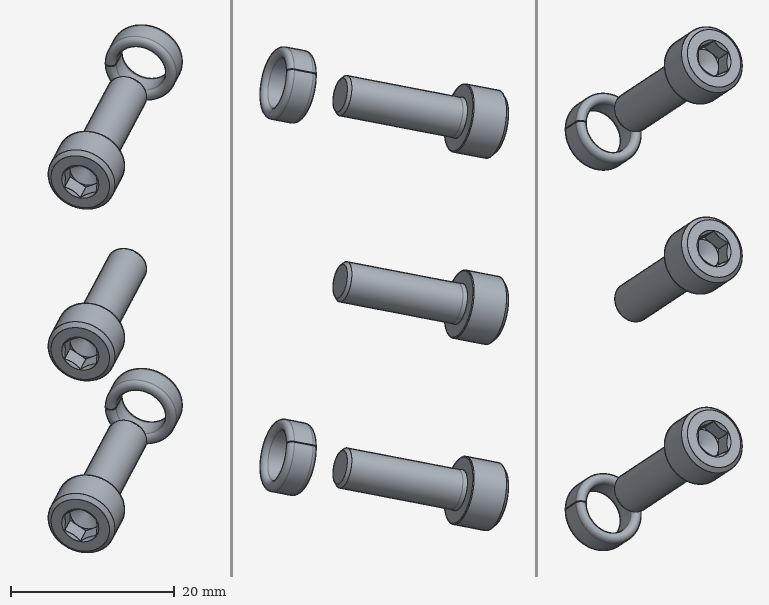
import cadquery as cq
import math

overall_depth = 30.0
screw_pitch = 50.0
screw_heights = (-screw_pitch / 2, 0, screw_pitch / 2)
ring_heights = (-screw_pitch / 2, screw_pitch / 2)
front_y = -overall_depth / 2
back_y = overall_depth / 2

shank_diameter = 5.0
shank_length = 16.0
shank_tip_chamfer = 0.4
neck_flare = 0.05
neck_length = 0.6
head_diameter = 8.5
head_length = 5.0
head_chamfer = 0.55
head_underside_chamfer = 0.1

socket_flats = 4.0
socket_corners = socket_flats / math.cos(math.radians(30))
socket_depth = 2.5
socket_cone_half_angle = 60
socket_mouth_diameter = 4.7

ring_diameter = 9.0
ring_wall = 1.35
ring_bore = ring_diameter - 2 * ring_wall
ring_width = 3.9
ring_slit = 0.1


def cylinder_along_y(diameter, start_y, length):
    """Cylinder on the Y axis that runs from start_y toward +Y."""
    return cq.Workplane("XZ", origin=(0, start_y, 0)).circle(diameter / 2).extrude(-length)


def cone_along_y(diameter, start_y, length):
    """Cone with its base at start_y and its point toward +Y."""
    return cq.Workplane(cq.Solid.makeCone(
        diameter / 2, 0, length, cq.Vector(0, start_y, 0), cq.Vector(0, 1, 0)
    ))


def make_socket():
    """Hexagonal recess with two corners on Z, a countersunk mouth and a conical floor."""
    hexagon = (
        cq.Workplane("XZ", origin=(0, front_y, 0))
        .polygon(6, socket_corners)
        .extrude(-socket_depth)
        .rotate((0, 0, 0), (0, 1, 0), 90)
    )
    floor_length = socket_flats / 2 / math.tan(math.radians(socket_cone_half_angle))
    floor_cone = cone_along_y(socket_flats, front_y + socket_depth, floor_length)
    mouth_cone = cone_along_y(socket_mouth_diameter, front_y, socket_mouth_diameter / 2)
    return hexagon.union(floor_cone).union(mouth_cone)


def make_screw(height):
    """Socket head screw with its axis at the given Z."""
    head = cylinder_along_y(head_diameter, front_y, head_length)
    head = head.faces("<Y").chamfer(head_chamfer).faces(">Y").chamfer(head_underside_chamfer)
    shoulder_y = front_y + head_length
    shank = cylinder_along_y(shank_diameter, shoulder_y, shank_length)
    shank = shank.faces(">Y").chamfer(shank_tip_chamfer)
    shank_radius = shank_diameter / 2
    neck = cq.Workplane(cq.Solid.makeCone(
        shank_radius + neck_flare, shank_radius, neck_length,
        cq.Vector(0, shoulder_y, 0), cq.Vector(0, 1, 0)
    ))
    screw = head.union(shank).union(neck).cut(make_socket())
    return screw.translate((0, 0, height))


def make_ring(height):
    """Ring with full-round ends, slit through its -X side, with its axis at the given Z."""
    end_radius = ring_wall / 2
    inner_radius = ring_bore / 2
    outer_radius = ring_diameter / 2
    middle_radius = (inner_radius + outer_radius) / 2
    ring_front_y = back_y - ring_width
    ring = (
        cq.Workplane("XY")
        .moveTo(inner_radius, ring_front_y + end_radius)
        .threePointArc((middle_radius, ring_front_y), (outer_radius, ring_front_y + end_radius))
        .lineTo(outer_radius, back_y - end_radius)
        .threePointArc((middle_radius, back_y), (inner_radius, back_y - end_radius))
        .close()
        .revolve(360, (0, 0, 0), (0, 1, 0))
        .rotate((0, 0, 0), (0, 1, 0), 180)
    )
    slit = cq.Workplane("XY").box(ring_diameter, overall_depth, ring_slit)
    slit = slit.translate((-outer_radius, 0, 0))
    return ring.cut(slit).translate((0, 0, height))


screws = [make_screw(height).val() for height in screw_heights]
rings = [make_ring(height).val() for height in ring_heights]

result = cq.Compound.makeCompound([*screws, *rings])